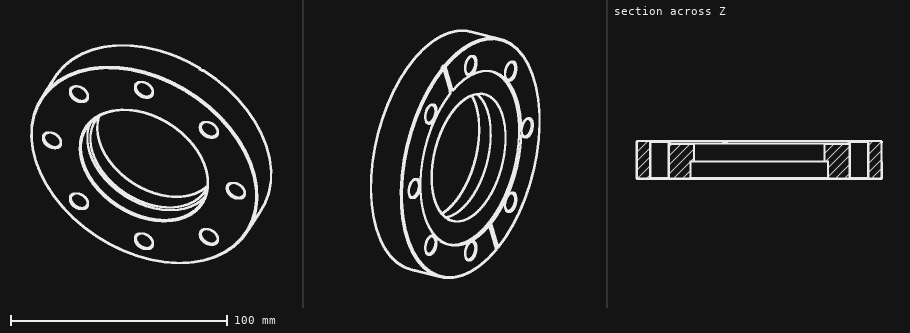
import cadquery as cq
import math

outer_diameter = 113.5
thickness = 17.5
rim_chamfer = 0.5

bore_diameter = 60.4
socket_diameter = 63.6
socket_depth = 8.0
socket_chamfer = 0.5

recess_diameter = 82.5
recess_depth = 1.2

bolt_count = 8
bolt_circle_diameter = 92.2
bolt_hole_diameter = 8.4
bolt_hole_chamfer = 0.4

groove_width = 1.7
groove_depth = 0.9
groove_inner_radius = recess_diameter / 2 - groove_width
groove_angle = 1.5 * 360 / bolt_count

front_y = -thickness / 2
back_y = thickness / 2


def cylinder(diameter, start_y, length, x=0, z=0):
    """Solid cylinder running along +Y from start_y."""
    return cq.Workplane(cq.Solid.makeCylinder(
        diameter / 2, length, cq.Vector(x, start_y, z), cq.Vector(0, 1, 0)))


def chamfer_cutter(diameter, size, face_y, inward, x=0, z=0):
    """Cone that breaks a hole edge; inward is the Y direction into the ring."""
    return cq.Workplane(cq.Solid.makeCone(
        diameter / 2 + size, diameter / 2, size,
        cq.Vector(x, face_y, z), cq.Vector(0, inward, 0)))


def bolt_hole_cutter(index):
    angle = math.radians(index * 360 / bolt_count)
    x = bolt_circle_diameter / 2 * math.cos(angle)
    z = bolt_circle_diameter / 2 * math.sin(angle)
    cutter = cylinder(bolt_hole_diameter, front_y, thickness, x, z)
    for face_y, inward in ((front_y, 1), (back_y, -1)):
        cutter = cutter.union(chamfer_cutter(
            bolt_hole_diameter, bolt_hole_chamfer, face_y, inward, x, z))
    return cutter


def groove_cutter(angle):
    """Radial slot from groove_inner_radius out through the rim."""
    length = outer_diameter / 2 - groove_inner_radius + groove_width
    slot = cq.Workplane("XY").box(length, groove_depth, groove_width)
    slot = slot.translate((groove_inner_radius + length / 2, back_y - groove_depth / 2, 0))
    return slot.rotate((0, 0, 0), (0, -1, 0), angle)


result = cylinder(outer_diameter, front_y, thickness).edges("%CIRCLE").chamfer(rim_chamfer)

result = result.cut(cylinder(bore_diameter, front_y, thickness))
result = result.cut(cylinder(socket_diameter, front_y, socket_depth))
result = result.cut(chamfer_cutter(socket_diameter, socket_chamfer, front_y, 1))

result = result.cut(cylinder(recess_diameter, back_y - recess_depth, recess_depth))

for hole_index in range(bolt_count):
    result = result.cut(bolt_hole_cutter(hole_index))

for angle in (groove_angle, groove_angle + 180):
    result = result.cut(groove_cutter(angle))